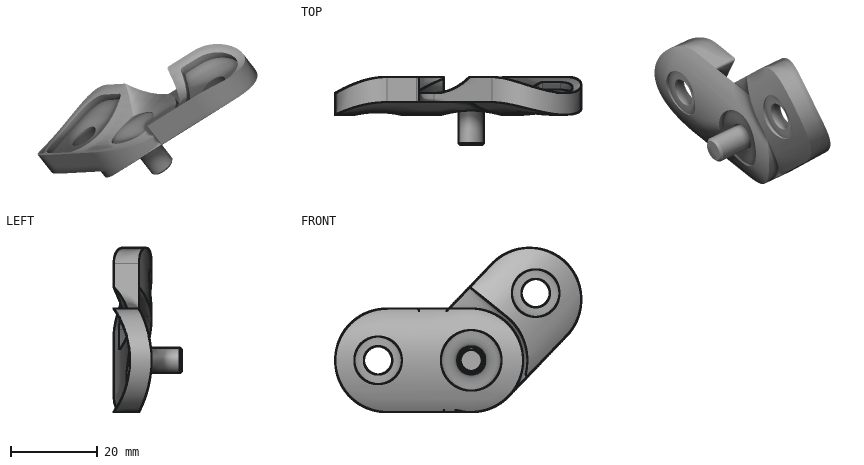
import cadquery as cq
import math


width = 24.0
half_width = width / 2
arch_outer_radius = 26.0
arch_thickness = 5.0
end_distance = 19.5
eye_distance = 21.55
eye_diameter = 6.5
eye_recess_diameter = 11.0
eye_recess_depth = 0.8
swing_angle = 46.2
pin_x = end_distance + half_width

arch_inner_radius = arch_outer_radius - arch_thickness
arch_axis_y = math.sqrt(arch_inner_radius**2 - half_width**2)
depth = arch_outer_radius - arch_axis_y
crown_back_depth = depth - arch_thickness
lap_depth = math.sqrt(arch_outer_radius**2 - half_width**2) - arch_axis_y

lap_radius = 13.0
lap_tip_radius = 0.4
lap_corner_radius = 0.55

hollow_radius = 10.0
hollow_floor_radius = 22.5
hollow_corner_radius = 0.7
back_hollow_start = 12.75
front_hollow_start = 15.0

pin_diameter = 5.9
pin_bore_diameter = 6.5
pin_reach = 15.8
pin_chamfer = 0.5
head_diameter = 11.75
head_back_depth = 4.0
head_front_depth = 4.85
front_recess_diameter = 14.0
front_recess_depth = 1.5

margin = 2.85


def disc(x, diameter, start, end):
    """Cylinder along Y between two depths below the back."""
    plane = cq.Plane(origin=(x, -start, 0), xDir=(1, 0, 0), normal=(0, -1, 0))
    return cq.Workplane(plane).circle(diameter / 2).extrude(end - start)


def long_cylinder(radius, direction):
    """Cylinder whose axis lies behind the link, perpendicular to Y."""
    length = 4 * (end_distance + half_width)
    start = cq.Vector(0, arch_axis_y, 0) - cq.Vector(*direction) * (length / 2)
    return cq.Workplane(cq.Solid.makeCylinder(radius, length, start, cq.Vector(*direction)))


def stadium(radius, height):
    """Rounded bar from the pin axis to the far end."""
    return (
        cq.Workplane("XZ")
        .center(end_distance / 2, 0)
        .slot2D(end_distance + 2 * radius, 2 * radius)
        .extrude(height)
    )


def lap_prism(corner_radius=0):
    """Part of the outline left of the swing-clearance wall.

    The wall is an arc about the pin and a tangent to the upper side of the link.
    """
    corner_distance = half_width * math.sqrt(2)
    tangent_angle = math.pi / 4 - math.acos(lap_radius / corner_distance)
    tangent_point = (lap_radius * math.cos(tangent_angle), lap_radius * math.sin(tangent_angle))
    tip_x = math.sqrt(lap_radius**2 - half_width**2)
    middle_angle = (tangent_angle - math.atan2(half_width, tip_x)) / 2
    middle = (lap_radius * math.cos(middle_angle), lap_radius * math.sin(middle_angle))
    far_x = end_distance + half_width + margin
    thick_part = (
        cq.Workplane("XZ")
        .moveTo(half_width, half_width)
        .lineTo(*tangent_point)
        .threePointArc(middle, (tip_x, -half_width))
        .lineTo(far_x, -half_width)
        .lineTo(far_x, half_width)
        .close()
        .extrude(depth)
        .edges(cq.selectors.NearestToPointSelector((tip_x, -depth / 2, -half_width)))
        .fillet(lap_tip_radius)
    )
    if corner_radius:
        corner = cq.selectors.NearestToPointSelector((half_width, -depth / 2, half_width))
        thick_part = thick_part.edges(corner).fillet(corner_radius)
    return stadium(half_width, depth).cut(thick_part)


def arched_link():
    """Full-depth arched link with its mounting hole."""
    link = stadium(half_width, depth)
    link = link.intersect(long_cylinder(arch_outer_radius, (1, 0, 0)))
    link = link.cut(long_cylinder(arch_inner_radius, (1, 0, 0)))
    link = link.cut(disc(eye_distance, eye_diameter, 0, depth))
    return link.cut(disc(eye_distance, eye_recess_diameter, depth - eye_recess_depth, depth))


def slab(start, end):
    """Wide block between two depths."""
    size = 4 * (end_distance + half_width)
    return cq.Workplane("XZ", origin=(0, -start, 0)).rect(size, size).extrude(end - start)


def hollow(start):
    """Hollow with an arched floor, following the rounded far end from a square near end."""
    length = end_distance + half_width
    window = (
        cq.Workplane("XZ")
        .center(start + length / 2, 0)
        .rect(length, 2 * hollow_radius)
        .extrude(depth)
    )
    outline = stadium(hollow_radius, depth).intersect(window)
    outline = outline.edges("|Y and <X").fillet(hollow_corner_radius)
    return outline.intersect(long_cylinder(hollow_floor_radius, (1, 0, 0)))


def make_front_link():
    """Link that keeps the front layer at the joint, pointing to -X."""
    link = arched_link()
    link = link.cut(lap_prism(lap_corner_radius).intersect(slab(0, lap_depth)))
    link = link.cut(hollow(front_hollow_start))
    link = link.cut(disc(0, pin_bore_diameter, 0, depth))
    link = link.cut(disc(0, front_recess_diameter, depth - front_recess_depth, depth))
    return link.mirror("YZ").translate((pin_x, 0, 0))


def cross_channel():
    """Concave channel across the upper half of the back, centred on the pin."""
    upper_half = (
        cq.Workplane("XY")
        .rect(4 * half_width, 4 * half_width)
        .extrude(half_width + margin)
    )
    return long_cylinder(arch_inner_radius, (0, 0, 1)).intersect(upper_half)


def end_relief():
    """Clears the upper back corner of the joint end, left of the pin axis."""
    size = half_width + margin
    return (
        cq.Workplane("XZ")
        .rect(-size, size, centered=False)
        .extrude(crown_back_depth)
    )


def make_back_link():
    """Link that keeps the back layer at the joint, swung upwards."""
    link = arched_link()
    link = link.cut(lap_prism().intersect(slab(lap_depth, depth)))
    link = link.cut(cross_channel())
    link = link.cut(end_relief())
    link = link.cut(hollow(back_hollow_start))
    link = link.cut(disc(0, pin_bore_diameter, 0, depth))
    link = link.cut(disc(0, head_diameter, 0, head_front_depth))
    return link.rotate((0, 0, 0), (0, 1, 0), -swing_angle).translate((pin_x, 0, 0))


def make_pin():
    """Headed pin seated in the back link, passing through both links."""
    shank = disc(pin_x, pin_diameter, head_back_depth, pin_reach).faces("<Y").chamfer(pin_chamfer)
    return shank.union(disc(pin_x, head_diameter, head_back_depth, head_front_depth))


front_link = make_front_link()
back_link = make_back_link()
pin = make_pin()

result = cq.Compound.makeCompound([front_link.val(), back_link.val(), pin.val()])